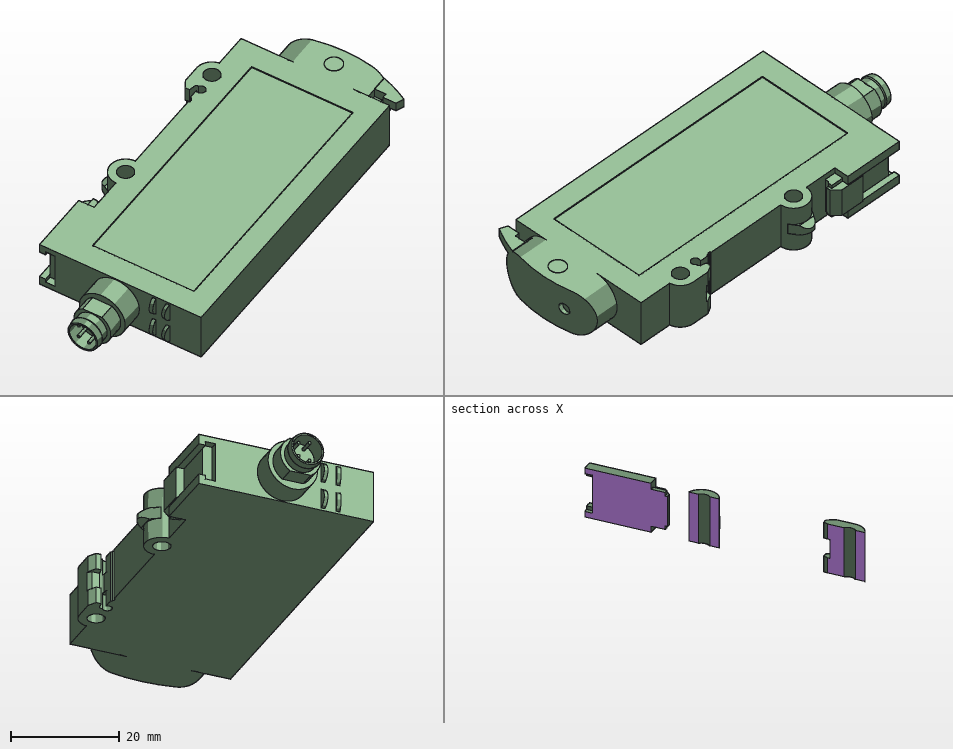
import cadquery as cq
import math


thickness = 10.4
half_thickness = thickness / 2
housing_left = -16.8
housing_right = 18.5
housing_length = 65.0
upper_left = -13.95
rail_wall = -13.45
foot_top = 13.5

label_left, label_right = -8.4, 13.7
label_bottom, label_top = 5.05, 59.85
label_depth = 0.25
cap_centre = 4.0
cap_flat_half_width = 6.55
cap_top = 72.5
crown_radius = 31.1
button_y = 68.6
button_diameter = 3.6
button_depth = 0.1
lens_x = -1.0
lens_diameter = 2.4
lens_depth = 0.8

lever_left = 13.45
lever_bottom, lever_top = 2.5, 4.5
lever_tip = 19.5
lever_heel = 18.8
lever_edge = 66.7
lever_step_x, lever_step_y = 16.0, 67.7
notch_bottom = 65.75

lug_hole_diameter = 3.4
upper_lug_y = 54.1
lower_lug_y = 24.4
lug_radius = 3.4
hook_left = rail_wall - lug_radius
hook_inner = -14.6
hook_tip_right = -14.9
hook_tip = 48.7
hook_tip_left = -15.9
hook_chamfer_start = 50.3
slot_wall = -13.7
slot_relief_x, slot_relief_y = -13.1, 49.85
slot_relief_radius = 0.9
slot_top_radius = (slot_wall - hook_inner) / 2
hook_cut_half_height = 1.9
hook_cut_outer_y = 50.7
hook_cut_inner_y = 50.0
hook_cut_bevel = 0.7
slot_wall_end = 47.1
groove_bottom, groove_top = 46.1, 46.7
groove_depth = 0.25

nose_tip = -18.3
nose_root = -15.0
nose_shoulder = -17.15
nose_shoulder_half_width, nose_root_half_width = 1.7, 3.1
nose_taper_start = -16.8
nose_tip_half_height, nose_root_half_height = 0.5, 1.2

rib_half_height = 3.2
flange_half_height = 3.95
rib_inner = -15.5
rib_outer = -17.1
rib_bottom = 9.75
rib_shoulder = 15.4
rib_tip = 16.9
flange_bottom = 1.5
flange_shoulder, flange_top = 16.05, 16.4
head_width = 0.8
corner_width = 0.3

collar_diameter, collar_end = 10.0, -4.9
nut_diameter, nut_flats, nut_end = 8.1, 6.9, -8.3
neck_diameter, neck_end = 6.5, -10.0
lip_diameter, lip_start = 6.9, -10.25
overall_length = 84.1
connector_end = cap_top - overall_length
bore_diameter, bore_floor = 5.8, -8.0
pin_diameter, pin_tip = 0.6, -10.8
pin_circle_radius = 2.0
pin_angles = (68, 136, -136, -68)

window_chord, window_rise, window_width = 3.95, 1.3, 0.75
window_sink = 0.4
window_z = 2.8
window_tilts = ((8.2, 4), (11.3, -14))


def prism(outline, bottom, top):
    """Extrude a closed XY outline between two heights."""
    return outline.extrude(top - bottom).translate((0, 0, bottom))


def block(x0, x1, y0, y1, z0, z1):
    """Box between two corners."""
    return cq.Workplane("XY").box(x1 - x0, y1 - y0, z1 - z0, centered=False).translate((x0, y0, z0))


def disc(x, y, radius, bottom, top):
    """Cylinder standing along Z."""
    return prism(cq.Workplane("XY").center(x, y).circle(radius), bottom, top)


def rod(diameter, y_start, y_end, x=0, z=0):
    """Cylinder running along -Y, from y_start down to y_end."""
    profile = cq.Workplane("XZ", origin=(x, y_start, z)).circle(diameter / 2)
    return profile.extrude(y_start - y_end)


def crown_y(x):
    """Y position of the crown arc of the cap at a given X."""
    return cap_top - crown_radius + math.sqrt(crown_radius**2 - (x - cap_centre) ** 2)


def housing():
    """Plate with the wide foot, the hook and its slot, and the label recess."""
    lug_top = upper_lug_y + math.sqrt(lug_radius**2 - (upper_left - rail_wall) ** 2)
    diagonal = lug_radius * math.sqrt(0.5)
    slot_mid = (hook_inner + slot_wall) / 2
    outline = (
        cq.Workplane("XY")
        .moveTo(housing_left, 0)
        .lineTo(housing_right, 0)
        .lineTo(housing_right, housing_length)
        .lineTo(upper_left, housing_length)
        .lineTo(upper_left, lug_top)
        .threePointArc((rail_wall - diagonal, upper_lug_y + diagonal), (hook_left, upper_lug_y))
        .lineTo(hook_left, hook_chamfer_start)
        .lineTo(hook_tip_left, hook_tip)
        .lineTo(hook_tip_right, hook_tip)
        .lineTo(hook_inner, slot_relief_y)
        .threePointArc((slot_mid, slot_relief_y + slot_top_radius), (slot_wall, slot_relief_y))
        .lineTo(slot_wall, slot_wall_end)
        .lineTo(rail_wall, slot_wall_end)
        .lineTo(rail_wall, foot_top)
        .lineTo(housing_left, foot_top)
        .close()
    )
    body = prism(outline, -half_thickness, half_thickness)
    groove_floor = rail_wall + groove_depth
    body = body.cut(
        block(rail_wall, groove_floor, groove_bottom, groove_top, -half_thickness, half_thickness)
    )
    hook_cut = cq.Workplane("XY").polyline(
        [
            (hook_left, hook_tip),
            (slot_wall, hook_tip),
            (slot_wall, hook_cut_inner_y),
            (hook_left + hook_cut_bevel, hook_cut_inner_y),
            (hook_left, hook_cut_outer_y),
        ]
    ).close()
    body = body.cut(prism(hook_cut, -hook_cut_half_height, hook_cut_half_height))
    for bottom, top in ((hook_cut_half_height, half_thickness), (-half_thickness, -hook_cut_half_height)):
        body = body.cut(disc(slot_relief_x, slot_relief_y, slot_relief_radius, bottom, top))
    return body.cut(
        block(label_left, label_right, label_bottom, label_top, half_thickness - label_depth, half_thickness)
    )


def lower_lug():
    """Round lug with a tapered nose on its outer side."""
    lug = disc(rail_wall, lower_lug_y, lug_radius, -half_thickness, half_thickness)
    plan = (
        cq.Workplane("XY")
        .moveTo(nose_root, lower_lug_y - nose_root_half_width)
        .lineTo(nose_shoulder, lower_lug_y - nose_shoulder_half_width)
        .threePointArc(
            (nose_tip, lower_lug_y), (nose_shoulder, lower_lug_y + nose_shoulder_half_width)
        )
        .lineTo(nose_root, lower_lug_y + nose_root_half_width)
        .close()
    )
    side = cq.Workplane("XZ", origin=(0, lower_lug_y, 0)).polyline(
        [
            (nose_root, -nose_root_half_height),
            (nose_taper_start, -nose_root_half_height),
            (nose_tip, -nose_tip_half_height),
            (nose_tip, nose_tip_half_height),
            (nose_taper_start, nose_root_half_height),
            (nose_root, nose_root_half_height),
        ]
    ).close()
    nose = prism(plan, -half_thickness, half_thickness)
    nose = nose.intersect(side.extrude(nose_root_half_width, both=True))
    return lug.union(nose)


def lug_holes():
    """Through holes of both lugs."""
    upper, lower = [
        disc(rail_wall, y, lug_hole_diameter / 2, -half_thickness, half_thickness)
        for y in (upper_lug_y, lower_lug_y)
    ]
    return upper.union(lower)


def cap():
    """End cap: round-edged bar trimmed by the crown arc, with its button, lens and lever."""
    bar_length = cap_top - housing_length
    full_width = 2 * (cap_flat_half_width + half_thickness)
    bar = (
        cq.Workplane("XZ", origin=(cap_centre, cap_top, 0))
        .slot2D(full_width, thickness)
        .extrude(bar_length)
    )
    crown = disc(cap_centre, cap_top - crown_radius, crown_radius, -half_thickness, half_thickness)
    button = disc(cap_centre, button_y, button_diameter / 2, half_thickness - button_depth, half_thickness)
    notch = block(lever_left, lever_tip, notch_bottom, lever_step_y, lever_bottom, half_thickness)
    lens = rod(lens_diameter, cap_top, crown_y(lens_x) - lens_depth, lens_x)
    return bar.intersect(crown).cut(button).cut(lens).cut(notch).union(lever())


def lever():
    """Flat finger that follows the crown and overhangs the side of the cap."""
    middle_x = (lever_left + lever_tip) / 2
    outline = (
        cq.Workplane("XY")
        .moveTo(lever_left, lever_step_y)
        .lineTo(lever_step_x, lever_step_y)
        .lineTo(lever_step_x, lever_edge)
        .lineTo(lever_heel, lever_edge)
        .lineTo(lever_tip, crown_y(lever_tip))
        .threePointArc((middle_x, crown_y(middle_x)), (lever_left, crown_y(lever_left)))
        .close()
    )
    return prism(outline, lever_bottom, lever_top)


def slider_channel():
    """T-shaped channel that runs the length of the foot."""
    mouth = block(housing_left, rib_inner, 0, foot_top, -rib_half_height, rib_half_height)
    undercut = block(rib_inner, rail_wall, 0, foot_top, -flange_half_height, flange_half_height)
    return mouth.union(undercut)


def slider():
    """T-shaped latch slider: wide inner flange and narrow outer rib."""
    flange = cq.Workplane("XY").polyline(
        [
            (rib_inner, flange_bottom),
            (rail_wall, flange_bottom),
            (rail_wall, flange_shoulder),
            (rib_inner + head_width + corner_width, flange_shoulder),
            (rib_inner + head_width, flange_top),
            (rib_inner, flange_top),
        ]
    ).close()
    rib = cq.Workplane("XY").polyline(
        [
            (rib_outer, rib_bottom),
            (rib_inner + head_width, rib_bottom),
            (rib_inner + head_width, rib_tip),
            (rib_inner, rib_tip),
            (rib_outer, rib_shoulder),
        ]
    ).close()
    flange_body = prism(flange, -flange_half_height, flange_half_height)
    return flange_body.union(prism(rib, -rib_half_height, rib_half_height))


def connector():
    """Stepped round connector with two nut flats, a snap lip, a bore and four pins."""
    nut = rod(nut_diameter, collar_end, nut_end)
    flats = block(-nut_diameter, nut_diameter, nut_end, collar_end, -nut_flats / 2, nut_flats / 2)
    tip_profile = cq.Workplane("XY").polyline(
        [
            (0, nut_end),
            (neck_diameter / 2, nut_end),
            (neck_diameter / 2, neck_end),
            (lip_diameter / 2, lip_start),
            (neck_diameter / 2, connector_end),
            (0, connector_end),
        ]
    ).close()
    tip = tip_profile.revolve(360, (0, 0, 0), (0, 1, 0))
    body = rod(collar_diameter, 0, collar_end).union(nut.intersect(flats)).union(tip)
    body = body.cut(rod(bore_diameter, bore_floor, connector_end))
    for angle in pin_angles:
        pin_x = pin_circle_radius * math.cos(math.radians(angle))
        pin_z = pin_circle_radius * math.sin(math.radians(angle))
        body = body.union(rod(pin_diameter, bore_floor, pin_tip, pin_x, pin_z))
    return body


def light_window(x, tilt, z):
    """Thin slice of a disc that stands out of the connector end face."""
    profile = (
        cq.Workplane("YZ")
        .moveTo(0, -window_chord / 2)
        .threePointArc((-window_rise, 0), (0, window_chord / 2))
        .lineTo(window_sink, window_chord / 2)
        .lineTo(window_sink, -window_chord / 2)
        .close()
    )
    slice_body = profile.extrude(window_width / 2, both=True)
    return slice_body.rotate((0, 0, 0), (0, 0, 1), tilt).translate((x, 0, z))


result = housing().cut(slider_channel()).union(slider())
result = result.union(lower_lug()).cut(lug_holes())
result = result.union(cap()).union(connector())
for window_x, window_tilt in window_tilts:
    for height in (-window_z, window_z):
        result = result.union(light_window(window_x, window_tilt, height))